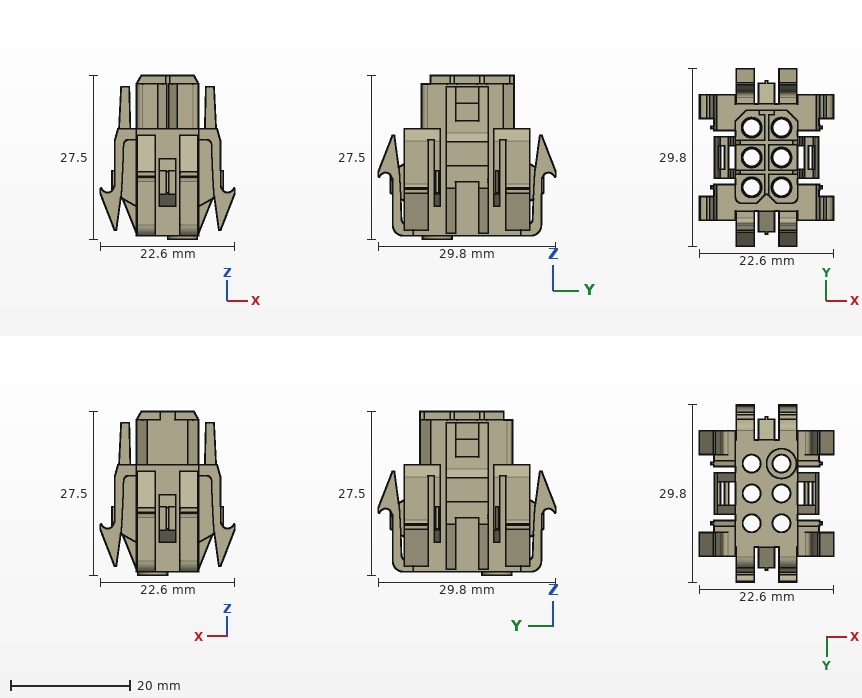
import cadquery as cq

CORE_HALF_X = 5.22
CORE_HALF_Y = 9.0
CORE_HEIGHT = 18.0
OVERLAP = 0.3

TOWER_TOP = 25.5
TOWER_BACK = 7.9
TOWER_FRONT = -7.65
TOWER_CHAMFER = 1.8
TOWER_ROUND = 0.98
NOTCH_DEPTH = 1.5
NOTCH_FLOOR = 0.33

PITCH = 5.0
COLUMNS = (-PITCH / 2, PITCH / 2)
ROWS = (-PITCH, 0, PITCH)
HOLE_RADIUS = 1.5
CAVITY_RADIUS = 1.7
PEG_RADIUS = 2.5
PEG_HEIGHT = 0.6

RIB_TOP = 26.9
RIB_WIDTH = 0.7
RIB_HEAD_LENGTH = 2.5
RIB_HEAD_WIDTH = 0.72
RIB_END_SLOPE = 0.8

TIP_INNER = (-0.3, 0)
TIP_OUTER = (0.03, 0)
BARB_REACH = 2.4
BARB_SHOULDER = (BARB_REACH, 6.15)
BARB_EDGE = (BARB_REACH, 6.85)
BARB_POINT = (2.25, 7.1)
THROAT_MIDDLE = (1.73, 6.47)
THROAT_CROWN = (1.15, 6.3)
THROAT_FLAT_END = (0.7, 6.4)
THROAT_CURVE = (0.2, 6.97)
LEG_START = (0, 7.75)
LEG_INNER_KNEE = (-1.13, 6.1)
LEG_INNER_MIDDLE = (-1.35, 9.83)
LEG_THICKNESS = 1.52

ARM_FACE = 8.88
ARM_OUTER_Y = 10.55
HOOK_INNER_Y = 6.53
WEB_OUTER_Y = 5.5
WEB_INNER_Y = 4.5
ARM_TIP_Z = 0.98
ARM_ROOF_Z = 16.12
ARM_CHAMFER_X = 0.57
ARM_CHAMFER_Z = 2.05
ARM_CORNER = 0.85
STOP_LOW_Z = 4.95
STOP_EDGE_Z = 7.0

HALF_LENGTH = 14.9
FOOT_FACE = HALF_LENGTH - BARB_REACH
FOOT_TIP_Z = 16.9
FOOT_HEIGHT = 1.95
FOOT_ROUND = 1.85
FOOT_CORNER = 0.9
FOOT_INNER_X = 2.05
FOOT_OUTER_X = 5.1

WEDGE_HALF_X = 1.37
WEDGE_TOP_Z = 12.93
WEDGE_EDGE_Z = 10.97
CRUSH_WIDTH = 0.45
CRUSH_REACH_SIDE = 0.48
CRUSH_REACH_FRONT = 0.4
CRUSH_RISE = 0.2
CRUSH_Y = (WEB_INNER_Y + WEB_OUTER_Y) / 2

LATCH_HALF_Y = 3.52
LATCH_WINDOW_HALF_Y = 1.95
LATCH_TOP_Z = 25.03
LATCH_TOP_INNER = 6.4
LATCH_TOP_OUTER = 7.8
LATCH_BRIDGE_OUTER = 7.05
LATCH_BRIDGE_Z = 22.25
LATCH_SILL_Z = 19.3
LATCH_PLATE_INNER = 7.7
LATCH_PLATE_BOTTOM = 9.05
LATCH_BAND_OUTER = 8.73
LATCH_BAND_LOW_Z = 11.75
LATCH_BAND_HIGH_Z = 15.8
LATCH_NECK_OUTER = 8.2
LATCH_NECK_Z = 17.28
LATCH_BASE_OUTER = 8.25
LATCH_SLOPE_TOP_Z = 8.02
LATCH_SLOPE_LOW_Z = 0.42
LATCH_GAP_OUTER = 6.02
LATCH_GAP_INNER = 5.6
LATCH_GAP_RISE = 0.45


def box(x0, x1, y0, y1, z0, z1):
    return cq.Workplane("XY").box(x1 - x0, y1 - y0, z1 - z0, centered=False).translate((x0, y0, z0))


def four_way(solid):
    """Repeat a solid in all four X/Y quadrants."""
    pair = solid.union(solid.mirror("YZ"))
    return pair.union(pair.mirror("XZ"))


def extrude_y(profile, y0, y1):
    """Extrude a closed XZ profile between two Y positions."""
    return profile.extrude(y0 - y1).translate((0, y0, 0))


def hook_profile(plane, wall, face, tip_z, root_inner_z, root_end_z):
    """Barbed spring leg joined to the core wall by a root; horizontal is the outward direction."""
    along = 1 if root_end_z > tip_z else -1

    def at(place):
        outward, from_tip = place
        return (face + outward, tip_z + along * from_tip)

    return (
        cq.Workplane(plane)
        .moveTo(*at(TIP_INNER))
        .lineTo(*at(TIP_OUTER))
        .lineTo(*at(BARB_SHOULDER))
        .lineTo(*at(BARB_EDGE))
        .lineTo(*at(BARB_POINT))
        .threePointArc(at(THROAT_MIDDLE), at(THROAT_CROWN))
        .lineTo(*at(THROAT_FLAT_END))
        .threePointArc(at(THROAT_CURVE), at(LEG_START))
        .lineTo(face, root_end_z)
        .lineTo(wall - OVERLAP, root_end_z)
        .lineTo(wall - OVERLAP, root_inner_z)
        .lineTo(face - LEG_THICKNESS, root_inner_z)
        .threePointArc(at(LEG_INNER_MIDDLE), at(LEG_INNER_KNEE))
        .close()
    )


def crush_rib_profile(plane, face, reach, tip_top_z):
    """Narrow rib on the outer face of a stop; its underside rises outward."""
    return cq.Workplane(plane).polyline([
        (face - OVERLAP, STOP_EDGE_Z),
        (face, STOP_EDGE_Z),
        (face + reach, STOP_EDGE_Z + CRUSH_RISE),
        (face + reach, tip_top_z),
        (face, WEDGE_EDGE_Z),
        (face - OVERLAP, WEDGE_EDGE_Z),
    ]).close()


def side_arm():
    hook = extrude_y(
        hook_profile("XZ", CORE_HALF_X, ARM_FACE, ARM_TIP_Z, ARM_ROOF_Z, CORE_HEIGHT),
        HOOK_INNER_Y, ARM_OUTER_Y,
    )
    inner_corner = (ARM_FACE - LEG_THICKNESS, (HOOK_INNER_Y + ARM_OUTER_Y) / 2, ARM_ROOF_Z)
    hook = hook.edges(cq.NearestToPointSelector(inner_corner)).fillet(ARM_CORNER)
    hook = hook.cut(box(0, CORE_HALF_X, CORE_HALF_Y, ARM_OUTER_Y, ARM_ROOF_Z, CORE_HEIGHT))

    roof = box(CORE_HALF_X - OVERLAP, ARM_FACE, WEB_OUTER_Y, HOOK_INNER_Y, ARM_ROOF_Z, CORE_HEIGHT)
    web = extrude_y(
        cq.Workplane("XZ").polyline([
            (CORE_HALF_X - OVERLAP, STOP_LOW_Z),
            (CORE_HALF_X, STOP_LOW_Z),
            (ARM_FACE, STOP_EDGE_Z),
            (ARM_FACE, CORE_HEIGHT),
            (CORE_HALF_X - OVERLAP, CORE_HEIGHT),
        ]).close(),
        WEB_INNER_Y, WEB_OUTER_Y,
    )
    top_edge = extrude_y(
        cq.Workplane("XZ").polyline([
            (ARM_FACE, CORE_HEIGHT - ARM_CHAMFER_Z),
            (ARM_FACE, CORE_HEIGHT),
            (ARM_FACE - ARM_CHAMFER_X, CORE_HEIGHT),
        ]).close(),
        WEB_INNER_Y, ARM_OUTER_Y,
    )
    crush_rib = extrude_y(
        crush_rib_profile("XZ", ARM_FACE, CRUSH_REACH_SIDE, WEDGE_EDGE_Z),
        CRUSH_Y - CRUSH_WIDTH / 2, CRUSH_Y + CRUSH_WIDTH / 2,
    )
    return hook.union(roof).union(web).cut(top_edge).union(crush_rib)


def foot_hook():
    hook = (
        hook_profile("YZ", CORE_HALF_Y, FOOT_FACE, FOOT_TIP_Z, FOOT_HEIGHT, 0)
        .extrude(FOOT_OUTER_X - FOOT_INNER_X)
        .translate((FOOT_INNER_X, 0, 0))
    )
    middle_x = (FOOT_INNER_X + FOOT_OUTER_X) / 2
    inner_corner = (middle_x, FOOT_FACE - LEG_THICKNESS, FOOT_HEIGHT)
    outer_corner = (middle_x, FOOT_FACE, 0)
    hook = hook.edges(cq.NearestToPointSelector(inner_corner)).fillet(FOOT_CORNER)
    return hook.edges(cq.NearestToPointSelector(outer_corner)).fillet(FOOT_ROUND)


def wedge_stop():
    wedge = (
        cq.Workplane("YZ")
        .polyline([
            (CORE_HALF_Y - OVERLAP, STOP_LOW_Z),
            (CORE_HALF_Y, STOP_LOW_Z),
            (FOOT_FACE, STOP_EDGE_Z),
            (FOOT_FACE, WEDGE_EDGE_Z),
            (CORE_HALF_Y, WEDGE_TOP_Z),
            (CORE_HALF_Y - OVERLAP, WEDGE_TOP_Z),
        ]).close()
        .extrude(WEDGE_HALF_X, both=True)
    )
    crush_rib = (
        crush_rib_profile("YZ", FOOT_FACE, CRUSH_REACH_FRONT, WEDGE_EDGE_Z - CRUSH_RISE)
        .extrude(CRUSH_WIDTH / 2, both=True)
    )
    return wedge.union(crush_rib)


def latch():
    """Flexible tab on the +X side: two posts joined by an outer plate and a top bridge."""
    body = extrude_y(
        cq.Workplane("XZ").polyline([
            (CORE_HALF_X - OVERLAP, LATCH_SLOPE_LOW_Z),
            (CORE_HALF_X, LATCH_SLOPE_LOW_Z),
            (LATCH_BASE_OUTER, LATCH_SLOPE_TOP_Z),
            (LATCH_BASE_OUTER, LATCH_BAND_LOW_Z),
            (LATCH_BAND_OUTER, LATCH_BAND_LOW_Z),
            (LATCH_BAND_OUTER, LATCH_BAND_HIGH_Z),
            (LATCH_NECK_OUTER, LATCH_NECK_Z),
            (LATCH_TOP_OUTER, LATCH_TOP_Z),
            (LATCH_TOP_INNER, LATCH_TOP_Z),
            (LATCH_GAP_OUTER, LATCH_PLATE_BOTTOM + LATCH_GAP_RISE),
            (LATCH_GAP_INNER, LATCH_PLATE_BOTTOM),
            (CORE_HALF_X - OVERLAP, LATCH_PLATE_BOTTOM),
        ]).close(),
        -LATCH_HALF_Y, LATCH_HALF_Y,
    )
    half = LATCH_WINDOW_HALF_Y
    hollow = box(CORE_HALF_X, LATCH_PLATE_INNER, -half, half, 0, LATCH_BRIDGE_Z)
    window = box(LATCH_BRIDGE_OUTER, ARM_FACE, -half, half, LATCH_SILL_Z, LATCH_TOP_Z)
    below_plate = box(CORE_HALF_X, ARM_FACE, -half, half, 0, LATCH_PLATE_BOTTOM)
    return body.cut(hollow).cut(window).cut(below_plate)


def tower():
    notch_half = NOTCH_DEPTH + NOTCH_FLOOR / 2
    block = (
        box(-CORE_HALF_X, CORE_HALF_X, TOWER_FRONT, TOWER_BACK, CORE_HEIGHT - OVERLAP, TOWER_TOP)
        .edges("|Z and >Y").chamfer(TOWER_CHAMFER)
        .edges("|Z and <Y").fillet(TOWER_ROUND)
    )
    notch = (
        cq.Workplane("XY", origin=(0, 0, CORE_HEIGHT))
        .polyline([
            (-notch_half, TOWER_FRONT),
            (-NOTCH_FLOOR / 2, TOWER_FRONT + NOTCH_DEPTH),
            (NOTCH_FLOOR / 2, TOWER_FRONT + NOTCH_DEPTH),
            (notch_half, TOWER_FRONT),
        ]).close()
        .extrude(TOWER_TOP - CORE_HEIGHT)
    )
    return block.cut(notch)


def divider_ribs():
    half = RIB_WIDTH / 2
    base = TOWER_TOP - OVERLAP
    ribs = box(-half, half, TOWER_FRONT + NOTCH_DEPTH, TOWER_BACK, base, RIB_TOP)
    ribs = ribs.union(box(-RIB_HEAD_LENGTH / 2, RIB_HEAD_LENGTH / 2,
                          TOWER_BACK - RIB_HEAD_WIDTH, TOWER_BACK, base, RIB_TOP))
    for y in (-PITCH / 2, PITCH / 2):
        cross_rib = extrude_y(
            cq.Workplane("XZ").polyline([
                (-CORE_HALF_X, base),
                (CORE_HALF_X, base),
                (CORE_HALF_X, TOWER_TOP),
                (CORE_HALF_X - RIB_END_SLOPE, RIB_TOP),
                (RIB_END_SLOPE - CORE_HALF_X, RIB_TOP),
                (-CORE_HALF_X, TOWER_TOP),
            ]).close(),
            y - half, y + half,
        )
        ribs = ribs.union(cross_rib)
    return ribs


def contact_holes():
    centers = [(x, y) for x in COLUMNS for y in ROWS]
    through = (
        cq.Workplane("XY", origin=(0, 0, -PEG_HEIGHT))
        .pushPoints(centers).circle(HOLE_RADIUS).extrude(PEG_HEIGHT + TOWER_TOP)
    )
    cavities = (
        cq.Workplane("XY", origin=(0, 0, CORE_HEIGHT))
        .pushPoints(centers).circle(CAVITY_RADIUS).extrude(TOWER_TOP - CORE_HEIGHT)
    )
    return through.union(cavities)


core = box(-CORE_HALF_X, CORE_HALF_X, -CORE_HALF_Y, CORE_HALF_Y, 0, CORE_HEIGHT)
peg = (
    cq.Workplane("XY", origin=(COLUMNS[1], ROWS[0], -PEG_HEIGHT))
    .circle(PEG_RADIUS).extrude(PEG_HEIGHT + OVERLAP)
)
right_latch = latch()
back_wedge = wedge_stop()

result = (
    core.union(tower()).union(divider_ribs()).union(peg)
    .union(four_way(side_arm()))
    .union(four_way(foot_hook()))
    .union(back_wedge).union(back_wedge.mirror("XZ"))
    .union(right_latch).union(right_latch.mirror("YZ"))
    .cut(contact_holes())
)